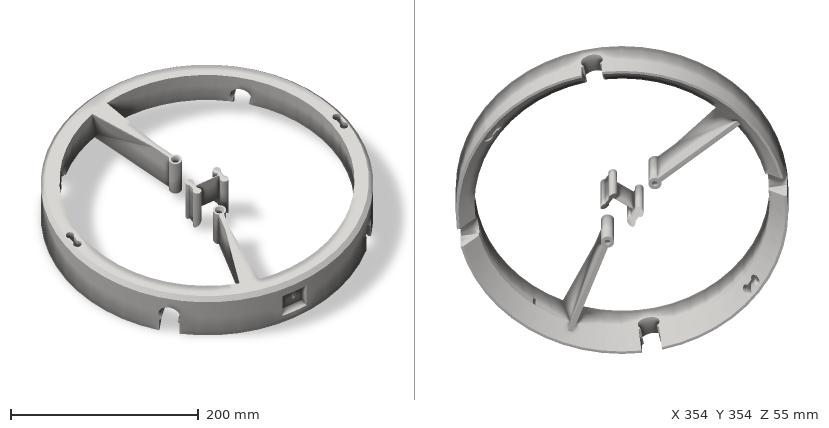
import cadquery as cq
import math

RING_RADIUS = 177.0
RING_HEIGHT = 55.0
BAND_WIDTH = 20.0
INNER_RADIUS = RING_RADIUS - BAND_WIDTH
TOP_CHAMFER = 4.7
BOTTOM_LIP = 3.0
BEVEL_HEIGHT = BAND_WIDTH - BOTTOM_LIP

NOTCH_ANGLES = (-45, 45)
NOTCH_HOLE_RADIUS = 11.75
NOTCH_HOLE_Z = 25.75
NOTCH_MOUTH_HALF = 11.0
NOTCH_MOUTH_Z = 16.0
NOTCH_NECK_Z = 18.0
NOTCH_OVERCUT = 10.0

RECESS_SIZE = 30.0
RECESS_Z = 25.0
RECESS_DEPTH = BAND_WIDTH / 2
WINDOW_WIDTH = 4.5
WINDOW_Y = 4.75
WINDOW_HEIGHT = 13.0

LOBE_DIAMETER = 9.0
LOBE_SPACING = 15.0
NECK_WIDTH = 5.0
SLOT_RADIUS = INNER_RADIUS + BAND_WIDTH / 2
KEY_SPACING = 34.0
KEY_BEVEL_MID_Z = RING_RADIUS - BOTTOM_LIP - SLOT_RADIUS
WEB_THICKNESS = 1.0
WEB_BOTTOM_Z = 20.0

ARM_ANGLE = -15.0
ARM_THICKNESS = 5.5
ARM_BOTTOM_Z = 10.0
BOSS_RADIUS = 46.0
BOSS_DIAMETER = 14.0
BORE_TOP_DIAMETER = 10.0
BORE_DIAMETER = 6.0
BORE_TAPER_DEPTH = 5.0
GUSSET_START = 77.0
GUSSET_RIM = 2.0
GUSSET_WIDTH = 22.3
GUSSET_BOTTOM_Z = BEVEL_HEIGHT


def full_band():
    """Full band: chamfered top outer edge, bevelled bottom inner edge."""
    return (
        cq.Workplane("XZ")
        .moveTo(INNER_RADIUS, BEVEL_HEIGHT)
        .lineTo(RING_RADIUS - BOTTOM_LIP, 0)
        .lineTo(RING_RADIUS, 0)
        .lineTo(RING_RADIUS, RING_HEIGHT - TOP_CHAMFER)
        .lineTo(RING_RADIUS - TOP_CHAMFER, RING_HEIGHT)
        .lineTo(INNER_RADIUS, RING_HEIGHT)
        .close()
        .revolve(360, (0, 0), (0, 1))
    )


def notch_cutter(angle):
    """Radial round hole that opens downwards into a straight mouth with sloped shoulders."""
    neck_half = math.sqrt(NOTCH_HOLE_RADIUS**2 - (NOTCH_HOLE_Z - NOTCH_NECK_Z) ** 2)
    hole_top = NOTCH_HOLE_Z + NOTCH_HOLE_RADIUS
    profile = (
        cq.Workplane("YZ", origin=(INNER_RADIUS - NOTCH_OVERCUT, 0, 0))
        .moveTo(-NOTCH_MOUTH_HALF, 0)
        .lineTo(-NOTCH_MOUTH_HALF, NOTCH_MOUTH_Z)
        .lineTo(-neck_half, NOTCH_NECK_Z)
        .threePointArc((0, hole_top), (neck_half, NOTCH_NECK_Z))
        .lineTo(NOTCH_MOUTH_HALF, NOTCH_MOUTH_Z)
        .lineTo(NOTCH_MOUTH_HALF, 0)
        .close()
    )
    return profile.extrude(BAND_WIDTH + 2 * NOTCH_OVERCUT).rotate((0, 0, 0), (0, 0, 1), angle)


def side_window_cutter():
    """Recess from the outside, then a narrow window through the rest of the band."""
    recess_floor = RING_RADIUS - RECESS_DEPTH
    recess = (
        cq.Workplane("YZ", origin=(recess_floor, 0, RECESS_Z))
        .rect(RECESS_SIZE, RECESS_SIZE)
        .extrude(RECESS_DEPTH)
    )
    window = (
        cq.Workplane("YZ", origin=(recess_floor, WINDOW_Y, RECESS_Z))
        .rect(WINDOW_WIDTH, WINDOW_HEIGHT)
        .extrude(-BAND_WIDTH)
    )
    return recess.union(window)


def dogbone(y):
    """Two upright round lobes joined by a straight neck, over the full ring height."""
    lobes = (
        cq.Workplane("XY")
        .pushPoints([(-LOBE_SPACING / 2, y), (LOBE_SPACING / 2, y)])
        .circle(LOBE_DIAMETER / 2)
        .extrude(RING_HEIGHT)
    )
    neck = cq.Workplane("XY").center(0, y).rect(LOBE_SPACING, NECK_WIDTH).extrude(RING_HEIGHT)
    return lobes.union(neck)


def gusset():
    """Wedge that widens the arm towards the ring, with a thin upright rim along its top edge."""
    tip = ARM_THICKNESS / 2
    wide = GUSSET_WIDTH / 2
    root = INNER_RADIUS
    rim_z = RING_HEIGHT - GUSSET_RIM
    tip_left, tip_right = [cq.Vector(GUSSET_START, y, rim_z) for y in (tip, -tip)]
    top_left, top_right = [cq.Vector(root, y, rim_z) for y in (wide, -wide)]
    low_left, low_right = [cq.Vector(root, y, GUSSET_BOTTOM_Z) for y in (tip, -tip)]
    outlines = [
        (tip_left, tip_right, top_right, top_left),
        (tip_left, tip_right, low_right, low_left),
        (top_left, top_right, low_right, low_left),
        (tip_left, top_left, low_left),
        (tip_right, top_right, low_right),
    ]
    faces = [cq.Face.makeFromWires(cq.Wire.makePolygon(points, close=True)) for points in outlines]
    wedge = cq.Workplane(cq.Solid.makeSolid(cq.Shell.makeShell(faces)))
    rim = (
        cq.Workplane("XY", origin=(0, 0, rim_z))
        .polyline([(GUSSET_START, tip), (root, wide), (root, -wide), (GUSSET_START, -tip)])
        .close()
        .extrude(GUSSET_RIM)
    )
    return wedge.union(rim)


def arm():
    """Radial arm along +X, with its boss at the inner end."""
    height = RING_HEIGHT - ARM_BOTTOM_Z
    base = cq.Workplane("XY", origin=(0, 0, ARM_BOTTOM_Z))
    blade = base.center((BOSS_RADIUS + SLOT_RADIUS) / 2, 0).rect(
        SLOT_RADIUS - BOSS_RADIUS, ARM_THICKNESS).extrude(height)
    boss = base.center(BOSS_RADIUS, 0).circle(BOSS_DIAMETER / 2).extrude(height)
    bore = base.center(BOSS_RADIUS, 0).circle(BORE_DIAMETER / 2).extrude(height)
    taper = (
        base.center(BOSS_RADIUS, 0)
        .workplane(offset=height - BORE_TAPER_DEPTH)
        .circle(BORE_DIAMETER / 2)
        .workplane(offset=BORE_TAPER_DEPTH)
        .circle(BORE_TOP_DIAMETER / 2)
        .loft()
    )
    return blade.union(gusset()).union(boss).cut(bore).cut(taper)


def ring_half():
    """Half of the band on the +X side, with its notches, key slots and arm."""
    half_space = cq.Workplane("XY").box(
        RING_RADIUS, 2 * RING_RADIUS, RING_HEIGHT, centered=(False, True, False))
    half = full_band().intersect(half_space)
    for angle in NOTCH_ANGLES:
        half = half.cut(notch_cutter(angle))
    for side in (-1, 1):
        half = half.cut(dogbone(side * SLOT_RADIUS))
    return half.union(arm().rotate((0, 0, 0), (0, 0, 1), ARM_ANGLE))


def key_post(side):
    """Dogbone whose bottom slopes at 45 degrees, lower towards the outside."""
    y = KEY_SPACING / 2
    reach = BAND_WIDTH / 2
    under_bevel = (
        cq.Workplane("YZ", origin=(-LOBE_SPACING, 0, 0))
        .moveTo(y - reach, 0)
        .lineTo(y - reach, KEY_BEVEL_MID_Z + reach)
        .lineTo(y + KEY_BEVEL_MID_Z, 0)
        .close()
        .extrude(2 * LOBE_SPACING)
    )
    post = dogbone(y).cut(under_bevel)
    return post if side > 0 else post.mirror("XZ")


def locking_key():
    """Two dogbone posts held together by a thin web."""
    web = cq.Workplane("XY", origin=(0, 0, WEB_BOTTOM_Z)).rect(
        WEB_THICKNESS, KEY_SPACING).extrude(RING_HEIGHT - WEB_BOTTOM_Z)
    return web.union(key_post(1)).union(key_post(-1))


ring_right = ring_half().cut(side_window_cutter())
ring_left = ring_half().mirror("YZ")
key = locking_key()

result = cq.Compound.makeCompound([ring_right.val(), ring_left.val(), key.val()])